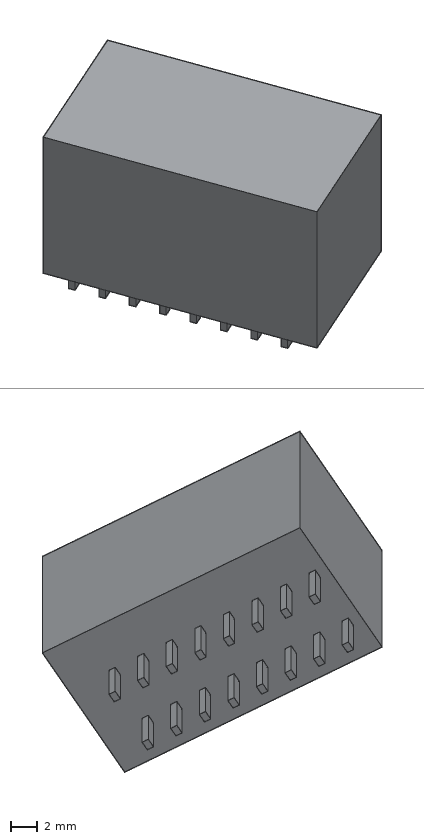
import cadquery as cq

body_length = 22.82
body_width = 12.6
total_height = 17.0
pin_length = 3.38
body_height = total_height - pin_length

pin_size_x = 0.55
pin_size_y = 0.8
pin_count = 8
pin_pitch = 2.53
first_pin_x = 1.19
front_row_y = 3.2
row_spacing = 2 * pin_pitch

body = cq.Workplane("XY").box(body_length, body_width, body_height, centered=(True, True, False))

pin_centres = [
    (
        -body_length / 2 + first_pin_x + column * pin_pitch,
        -body_width / 2 + front_row_y + row * row_spacing,
    )
    for row in range(2)
    for column in range(pin_count)
]
pins = cq.Workplane("XY").pushPoints(pin_centres).rect(pin_size_x, pin_size_y).extrude(-pin_length)

result = body.union(pins)